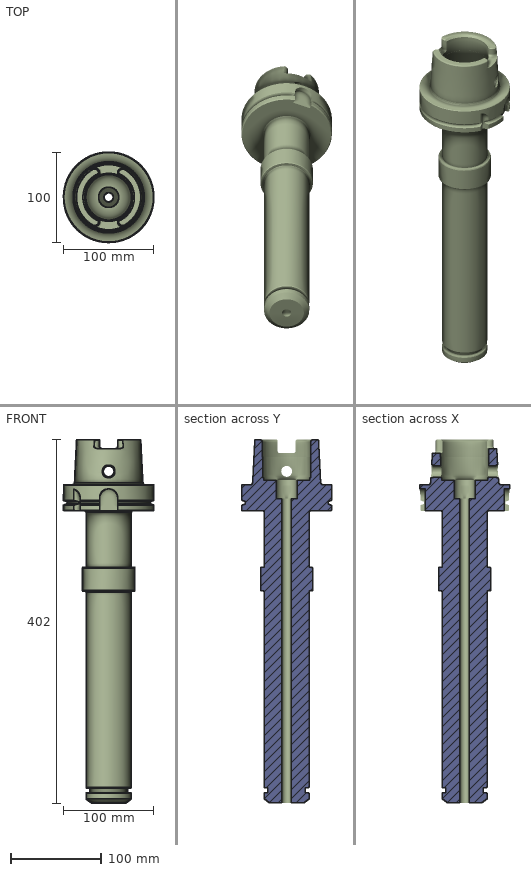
import cadquery as cq
import math


taper_height = 50.0
taper_base_radius = 38.0
taper_slope = 1.0 / 20.0
taper_top_rounding = 1.5
foot_radius = 39.4
foot_height = 2.4
foot_waist_radius = 38.4
foot_waist_height = 1.2

flange_radius = 50.0
flange_height = 29.0
flange_top_chamfer = 0.5
flange_bottom_chamfer = 1.0
groove_top_z = -17.3
groove_bottom_z = -22.6
groove_floor_radius = 46.0
groove_flank_height = 1.5
flange_root_chamfer = 1.2

total_height = 402.0
shank_bottom_z = taper_height - total_height
shank_radius = 25.0
collar_radius = 29.0
collar_top_z = -91.0
collar_bottom_z = -117.6
collar_edge_width = 0.5
collar_edge_height = 1.2
collar_root_width = 0.6
collar_root_height = 1.2
neck_radius = 21.0
neck_top_z = -335.4
neck_bottom_z = -340.4
neck_edge_width = 0.5
neck_edge_height = 1.0
end_cone_radius = 19.0
end_cone_height = 4.5

mouth_radius = 53.0 / 2
mouth_depth = 19.5
mouth_chamfer = 2.0
cavity_radius = 52.6 / 2
cavity_ledge_radius = 50.5 / 2
cavity_ledge_height = 3.0
cavity_floor_z = 5.0
thread_radius = 22.38 / 2
thread_depth = 20.0
through_radius = 10.0 / 2

cross_hole_z = 14.8
cross_hole_radius = 6.0
cross_hole_mouth_radius = 7.0
cross_hole_mouth_depth = 2.0

rim_slot_width = 20.0
front_slot_depth = 10.0
back_slot_depth = 15.0
rim_slot_floor_fillet = 2.5
rim_slot_edge_chamfer = 1.0
rim_flare_radius = 5.0
rim_flare_end = 32.0

flange_slot_radius = 10.0
flange_slot_center_z = -14.6
flange_slot_floor = 44.0
notch_wall_x = -31.5
notch_floor = 31.8


def half_turn(shape):
    """Copy of a shape turned to the opposite side of the axis."""
    return shape.rotate((0, 0, 0), (0, 0, 1), 180)


def make_body():
    """Turned outside of the part, from the lower end up to the rim."""
    rounding_start_radius = taper_base_radius - taper_slope * (taper_height - taper_top_rounding)
    rim_flat_radius = rounding_start_radius - taper_top_rounding
    rounding_mid_radius = rim_flat_radius + taper_top_rounding * math.sin(math.pi / 4)
    rounding_mid_z = taper_height - taper_top_rounding * (1 - math.cos(math.pi / 4))
    groove_floor_bottom_z = groove_bottom_z + groove_flank_height
    groove_floor_top_z = groove_top_z - groove_flank_height
    points = [
        (0, shank_bottom_z),
        (end_cone_radius, shank_bottom_z),
        (shank_radius, shank_bottom_z + end_cone_height),
        (shank_radius, neck_bottom_z - neck_edge_height),
        (shank_radius - neck_edge_width, neck_bottom_z),
        (neck_radius, neck_bottom_z),
        (neck_radius, neck_top_z),
        (shank_radius - neck_edge_width, neck_top_z),
        (shank_radius, neck_top_z + neck_edge_height),
        (shank_radius, collar_bottom_z - collar_root_height),
        (shank_radius + collar_root_width, collar_bottom_z),
        (collar_radius - collar_edge_width, collar_bottom_z),
        (collar_radius, collar_bottom_z + collar_edge_height),
        (collar_radius, collar_top_z - collar_edge_height),
        (collar_radius - collar_edge_width, collar_top_z),
        (shank_radius, collar_top_z),
        (shank_radius, -flange_height - flange_root_chamfer),
        (shank_radius + flange_root_chamfer, -flange_height),
        (flange_radius - flange_bottom_chamfer, -flange_height),
        (flange_radius, -flange_height + flange_bottom_chamfer),
        (flange_radius, groove_bottom_z),
        (groove_floor_radius, groove_floor_bottom_z),
        (groove_floor_radius, groove_floor_top_z),
        (flange_radius, groove_top_z),
        (flange_radius, -flange_top_chamfer),
        (flange_radius - flange_top_chamfer, 0),
        (foot_radius, 0),
        (foot_waist_radius, foot_waist_height),
        (taper_base_radius - taper_slope * foot_height, foot_height),
        (rounding_start_radius, taper_height - taper_top_rounding),
    ]
    return (
        cq.Workplane("XZ")
        .polyline(points)
        .threePointArc((rounding_mid_radius, rounding_mid_z), (rim_flat_radius, taper_height))
        .lineTo(0, taper_height)
        .close()
        .revolve(360, (0, 0, 0), (0, 1, 0))
    )


def make_bore():
    """Stepped bore along the axis, removed from the body."""
    step_z = taper_height - mouth_depth
    thread_floor_z = cavity_floor_z - thread_depth
    points = [
        (0, shank_bottom_z),
        (through_radius, shank_bottom_z),
        (through_radius, thread_floor_z),
        (thread_radius, thread_floor_z),
        (thread_radius, cavity_floor_z),
        (cavity_ledge_radius, cavity_floor_z),
        (cavity_ledge_radius, cavity_floor_z + cavity_ledge_height),
        (cavity_radius, cavity_floor_z + cavity_ledge_height),
        (cavity_radius, step_z),
        (mouth_radius, step_z),
        (mouth_radius, taper_height - mouth_chamfer),
        (mouth_radius + mouth_chamfer, taper_height),
        (0, taper_height),
    ]
    return cq.Workplane("XZ").polyline(points).close().revolve(360, (0, 0, 0), (0, 1, 0))


def make_cross_holes():
    """Hole along Y through both walls, widened at each outer end."""
    wall_radius = taper_base_radius - taper_slope * cross_hole_z
    mouth_start = wall_radius - cross_hole_mouth_depth
    holes = (
        cq.Workplane("XZ")
        .center(0, cross_hole_z)
        .circle(cross_hole_radius)
        .extrude(flange_radius, both=True)
    )
    mouth = (
        cq.Workplane("XZ", origin=(0, -mouth_start, cross_hole_z))
        .circle(cross_hole_mouth_radius)
        .extrude(flange_radius - mouth_start)
    )
    return holes.union(mouth).union(half_turn(mouth))


def rim_slot_outline(base_z):
    """Closed outline of a rim slot on the -Y side, placed at the height base_z."""
    half = rim_slot_width / 2
    flare_start = rim_flare_end - rim_flare_radius
    flare_half = half + rim_flare_radius
    mid_x = flare_half - rim_flare_radius * math.cos(math.pi / 4)
    mid_y = flare_start + rim_flare_radius * math.sin(math.pi / 4)
    return (
        cq.Workplane("XY", origin=(0, 0, base_z))
        .moveTo(-half, 0)
        .lineTo(half, 0)
        .lineTo(half, -flare_start)
        .threePointArc((mid_x, -mid_y), (flare_half, -rim_flare_end))
        .lineTo(flange_radius, -rim_flare_end)
        .lineTo(flange_radius, -flange_radius)
        .lineTo(-flange_radius, -flange_radius)
        .lineTo(-flange_radius, -rim_flare_end)
        .lineTo(-flare_half, -rim_flare_end)
        .threePointArc((-mid_x, -mid_y), (-half, -flare_start))
        .close()
    )


def make_rim_slot(depth):
    """Slot on the -Y side of the rim with rounded lead-outs, a filleted floor and chamfered top edges."""
    floor_z = taper_height - depth
    slot = rim_slot_outline(floor_z).extrude(depth)
    margin = 1.0
    reach = flange_radius - margin
    wall_foot_edges = cq.selectors.BoxSelector(
        (-reach, -reach, floor_z - margin),
        (reach, -margin, floor_z + margin),
    )
    slot = slot.edges(wall_foot_edges).fillet(rim_slot_floor_fillet)
    chamfer_base = rim_slot_outline(taper_height - rim_slot_edge_chamfer)
    chamfer = chamfer_base.extrude(rim_slot_edge_chamfer, taper=-45)
    return slot.union(chamfer)


def make_arched_slot(center_x, floor):
    """Round-topped slot open downwards and towards -Y, with a flat floor at y = -floor."""
    return (
        cq.Workplane("XZ", origin=(center_x, -floor, flange_slot_center_z))
        .moveTo(-flange_slot_radius, 0)
        .threePointArc((0, flange_slot_radius), (flange_slot_radius, 0))
        .lineTo(flange_slot_radius, -flange_height)
        .lineTo(-flange_slot_radius, -flange_height)
        .close()
        .extrude(flange_radius)
    )


result = (
    make_body()
    .cut(make_bore())
    .cut(make_cross_holes())
    .cut(make_rim_slot(front_slot_depth))
    .cut(half_turn(make_rim_slot(back_slot_depth)))
    .cut(make_arched_slot(0, flange_slot_floor))
    .cut(half_turn(make_arched_slot(0, flange_slot_floor)))
    .cut(make_arched_slot(notch_wall_x - flange_slot_radius, notch_floor))
)